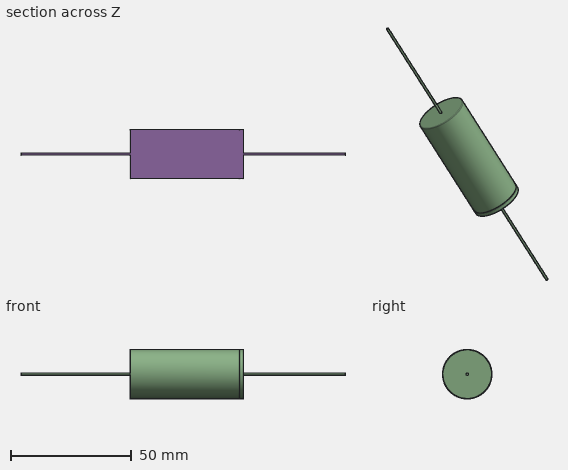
import cadquery as cq

can_diameter = 20.5
can_length = 47.0
cap_length = 1.8
body_length = can_length - cap_length
rim_radius = 0.25

lead_diameter = 1.0
left_lead_length = 45.0
right_lead_length = 42.0


def make_rod(start_x, diameter, length):
    """Plain cylinder along the X axis."""
    return cq.Workplane("YZ", origin=(start_x, 0, 0)).circle(diameter / 2).extrude(length)


def make_can_section(start_x, length):
    """Full-diameter part of the can, rounded at both rims."""
    return make_rod(start_x, can_diameter, length).edges("%CIRCLE").fillet(rim_radius)


def make_lead_wire():
    """One straight wire along the axis, reaching out of both ends of the can."""
    wire_length = left_lead_length + can_length + right_lead_length
    return make_rod(-left_lead_length, lead_diameter, wire_length)


body = make_can_section(0, body_length)
cap = make_can_section(body_length, cap_length)
result = body.union(cap).union(make_lead_wire())